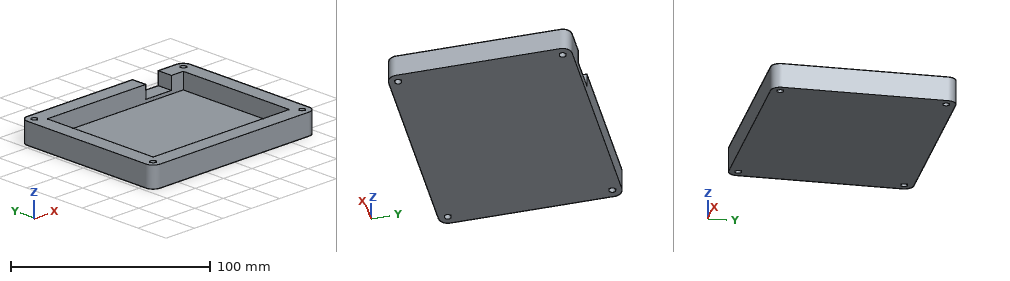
import cadquery as cq

length = 115.0
width = 95.0
height = 13.0
corner_radius = 5.0

wall = 9.5
floor_thickness = 3.0

notch_width = 18.0
notch_center_x = 30.6
notch_depth = 8.0

hole_diameter = 3.5


def make_block():
    block = cq.Workplane("XY").rect(length, width).extrude(height)
    return block.edges("|Z").fillet(corner_radius)


def make_pocket():
    pocket = cq.Workplane("XY").workplane(offset=floor_thickness)
    pocket = pocket.rect(length - 2 * wall, width - 2 * wall)
    return pocket.extrude(height - floor_thickness)


def make_notch():
    notch = cq.Workplane("XY").workplane(offset=height - notch_depth)
    notch = notch.center(notch_center_x, (width - wall) / 2)
    return notch.rect(notch_width, wall).extrude(notch_depth)


def make_screw_holes():
    holes = cq.Workplane("XY")
    holes = holes.rect(length - 2 * corner_radius, width - 2 * corner_radius, forConstruction=True)
    return holes.vertices().circle(hole_diameter / 2).extrude(height)


result = make_block().cut(make_pocket()).cut(make_notch()).cut(make_screw_holes())